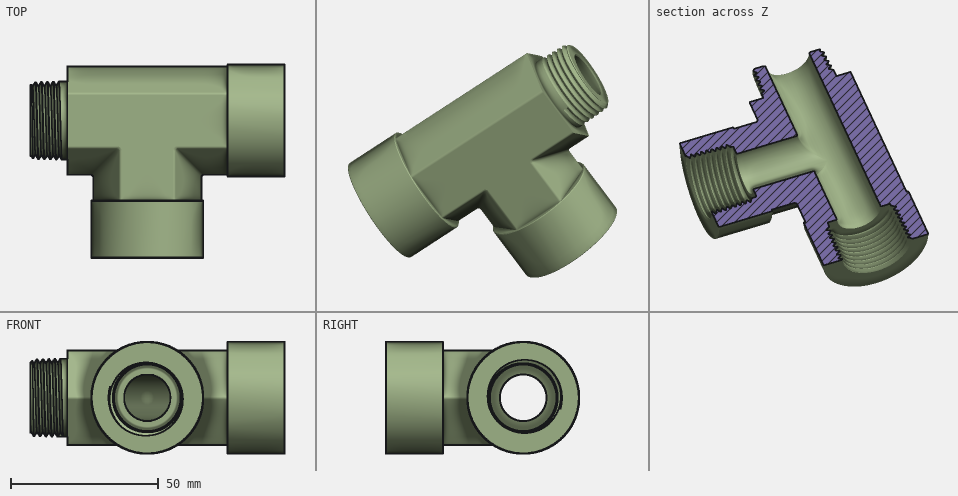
import cadquery as cq
import math

HEX_ACROSS_FLATS = 32.0
HEX_CIRCUMDIAMETER = HEX_ACROSS_FLATS / math.cos(math.radians(30))
HEX_EDGE_RADIUS = 1.0
ARM_LENGTH = 27.0

SOCKET_DIAMETER = 38.0
SOCKET_LENGTH = 19.5
SOCKET_EDGE_CHAMFER = 0.25
SOCKET_REACH = ARM_LENGTH + SOCKET_LENGTH

BORE_DIAMETER = 15.7
BORE_MOUTH_CHAMFER = 0.4

SPIGOT_RADIUS = 26.5 / 2
SPIGOT_TIP_RADIUS = 23.5 / 2
SPIGOT_LENGTH = 12.6
SPIGOT_REACH = ARM_LENGTH + SPIGOT_LENGTH

RADIUS_TAPER = 1 / 32
CREST_WIDTH = 0.15
GROOVE_DEPTH = 1.4
GROOVE_OVERCUT = 0.1
MALE_PITCH = 2.0
MALE_THREAD_LENGTH = 10.5
MALE_GROOVE_LENGTH = 10.3
MALE_START_ANGLE = -150.0
FEMALE_PITCH = 25.4 / 14
FEMALE_MINOR_RADIUS = 23.5 / 2
FEMALE_HOLE_DEPTH = 16.5
FEMALE_GROOVE_LENGTH = 15.5
FEMALE_START_ANGLE = -50.0

MALE_MOUTH = cq.Plane(origin=(-SPIGOT_REACH, 0, 0), xDir=(0, 1, 0), normal=(1, 0, 0))
RUN_MOUTH = cq.Plane(origin=(SOCKET_REACH, 0, 0), xDir=(0, 1, 0), normal=(-1, 0, 0))
BRANCH_MOUTH = cq.Plane(origin=(0, -SOCKET_REACH, 0), xDir=(-1, 0, 0), normal=(0, 1, 0))


def hex_tee():
    """Both hexagonal bars joined, with every edge rounded except those on the arm ends."""
    run = cq.Workplane("YZ").polygon(6, HEX_CIRCUMDIAMETER).extrude(ARM_LENGTH, both=True)
    branch = cq.Workplane("XZ").polygon(6, HEX_CIRCUMDIAMETER).extrude(ARM_LENGTH)
    tee = run.union(branch).clean()
    end_edges = tee.faces("<X or >X or <Y").edges().vals()
    long_edges = [edge for edge in tee.edges().vals() if edge not in end_edges]
    return tee.newObject(long_edges).fillet(HEX_EDGE_RADIUS)


def socket(mouth):
    """Round collar reaching from a socket mouth back to the hexagonal arm."""
    collar = cq.Workplane(mouth).circle(SOCKET_DIAMETER / 2).extrude(SOCKET_LENGTH)
    return collar.faces("<X or >X or <Y or >Y").edges().chamfer(SOCKET_EDGE_CHAMFER)


def thread_groove(mouth, mouth_radius, pitch, length, start_angle, outward):
    """Helical V-shaped cutter that starts one pitch outside the mouth plane.

    It follows the tapered surface whose radius at the mouth is mouth_radius.
    The V points away from the axis when outward is 1 and towards it when outward is -1;
    an outward V narrows with depth and an inward V widens with it.
    """
    lead = pitch
    start_radius = mouth_radius + outward * lead * RADIUS_TAPER
    taper_angle = -outward * math.degrees(math.atan(RADIUS_TAPER))
    helix = cq.Wire.makeHelix(pitch, length + lead, start_radius, angle=taper_angle)
    half_width = (pitch - CREST_WIDTH) / 2 * (1 + GROOVE_OVERCUT / GROOVE_DEPTH)
    base_radius = start_radius - outward * GROOVE_OVERCUT
    tip_radius = start_radius + outward * GROOVE_DEPTH
    profile = cq.Workplane("XZ").polyline(
        [(base_radius, -half_width), (base_radius, half_width), (tip_radius, 0)]
    ).close()
    cutter = profile.sweep(cq.Workplane(helix), isFrenet=True)
    cutter = cutter.rotate((0, 0, 0), (0, 0, 1), start_angle).translate((0, 0, -lead))
    return cq.Workplane(cutter.val().moved(mouth.location))


def male_spigot():
    """Tapered spigot with a plain neck, a helical groove and a 45 degree bevel at its tip."""
    crest_radius = SPIGOT_RADIUS - MALE_THREAD_LENGTH * RADIUS_TAPER
    blank = (
        cq.Workplane("XY", origin=(-SPIGOT_REACH, 0, 0))
        .polyline(
            [
                (0, 0),
                (0, crest_radius),
                (MALE_THREAD_LENGTH, SPIGOT_RADIUS),
                (SPIGOT_LENGTH, SPIGOT_RADIUS),
                (SPIGOT_LENGTH, 0),
            ]
        )
        .close()
        .revolve(360, (0, 0, 0), (1, 0, 0))
    )
    groove = thread_groove(
        MALE_MOUTH, crest_radius, MALE_PITCH, MALE_GROOVE_LENGTH, MALE_START_ANGLE, -1
    )
    tip_cone = cq.Workplane(MALE_MOUTH).circle(SPIGOT_TIP_RADIUS).extrude(SPIGOT_LENGTH, taper=-45)
    return blank.cut(groove).intersect(tip_cone)


def female_thread(mouth):
    """Tapered hole and helical groove cutters that run in from a socket mouth."""
    floor_radius = FEMALE_MINOR_RADIUS - FEMALE_HOLE_DEPTH * RADIUS_TAPER
    hole = (
        cq.Workplane(mouth)
        .circle(FEMALE_MINOR_RADIUS)
        .workplane(offset=FEMALE_HOLE_DEPTH)
        .circle(floor_radius)
        .loft()
    )
    groove = thread_groove(
        mouth, FEMALE_MINOR_RADIUS, FEMALE_PITCH, FEMALE_GROOVE_LENGTH, FEMALE_START_ANGLE, 1
    )
    return hole, groove


def passages():
    """Plain bores along the run and the branch, with a bevel at the spigot tip."""
    bore_radius = BORE_DIAMETER / 2
    run = cq.Workplane(MALE_MOUTH).circle(bore_radius).extrude(SPIGOT_REACH + SOCKET_REACH)
    branch = cq.Workplane(BRANCH_MOUTH).circle(bore_radius).extrude(SOCKET_REACH)
    bevel = (
        cq.Workplane(MALE_MOUTH)
        .circle(bore_radius + BORE_MOUTH_CHAMFER)
        .extrude(BORE_MOUTH_CHAMFER, taper=45)
    )
    return run.union(branch).union(bevel)


result = hex_tee().union(male_spigot())
for socket_mouth in (RUN_MOUTH, BRANCH_MOUTH):
    result = result.union(socket(socket_mouth))
result = result.cut(passages())
for socket_mouth in (RUN_MOUTH, BRANCH_MOUTH):
    for cutter in female_thread(socket_mouth):
        result = result.cut(cutter)